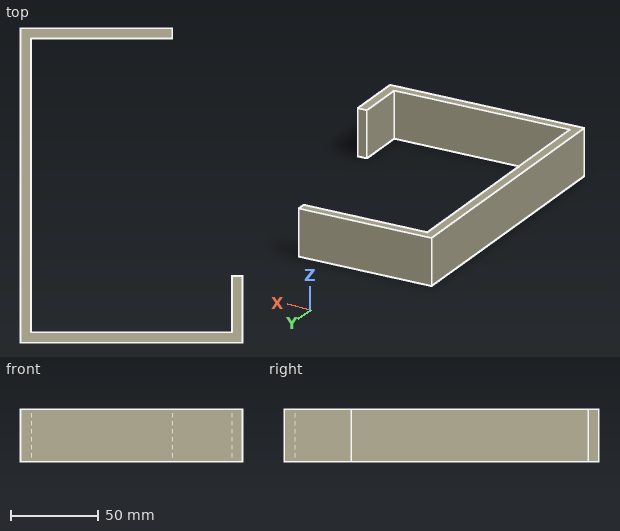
import cadquery as cq

width = 127.0
length = 180.0
height = 30.0
thickness = 6.1

back_arm = 87.0
return_arm = 38.3

outline = [
    (0, 0),
    (width, 0),
    (width, return_arm),
    (width - thickness, return_arm),
    (width - thickness, thickness),
    (thickness, thickness),
    (thickness, length - thickness),
    (back_arm, length - thickness),
    (back_arm, length),
    (0, length),
]

result = cq.Workplane("XY").polyline(outline).close().extrude(height)